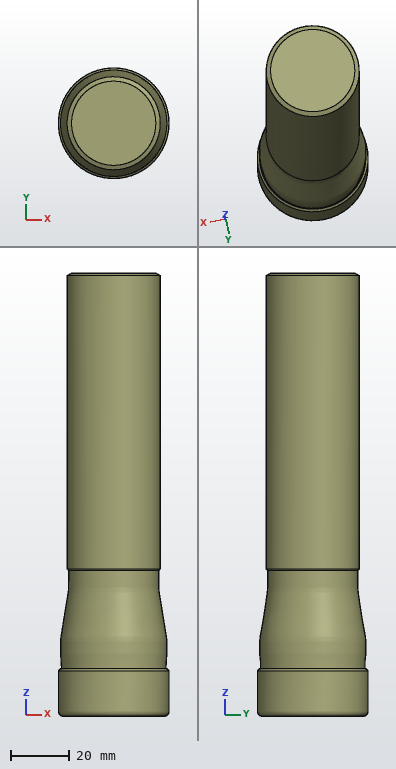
import cadquery as cq

total_length = 152.4

collar_radius = 19.0
collar_height = 16.5
collar_chamfer = 0.8
collar_bottom_fillet = 1.8

foot_radius = 18.0
flare_radius = 18.3
foot_taper_top = 21.5
flare_bottom = 26.5
flare_top = 43.5
flare_blend_radius = 10.7
rim_search_margin = 0.6
neck_radius = 15.5

handle_radius = 16.0
handle_bottom = 50.7
handle_step_height = 0.6
end_chamfer_height = 0.9
end_face_radius = 14.5


def make_collar():
    """Short round collar with a rounded lower rim and a chamfered upper rim."""
    collar = cq.Workplane("XY").circle(collar_radius).extrude(collar_height)
    collar = collar.faces("<Z").edges().fillet(collar_bottom_fillet)
    return collar.faces(">Z").edges().chamfer(collar_chamfer)


def blend_flare(body):
    """Round both ends of the conical flare into the adjoining cylinders."""
    for radius, height in ((flare_radius, flare_bottom), (neck_radius, flare_top)):
        rim = cq.selectors.BoxSelector(
            (-2 * radius, -2 * radius, height - rim_search_margin),
            (2 * radius, 2 * radius, height + rim_search_margin),
            boundingbox=True,
        )
        body = body.edges(rim).fillet(flare_blend_radius)
    return body


def make_body():
    """Revolved foot, flare, neck and handle."""
    body = (
        cq.Workplane("XZ")
        .moveTo(0, collar_height)
        .lineTo(foot_radius, collar_height)
        .lineTo(flare_radius, foot_taper_top)
        .lineTo(flare_radius, flare_bottom)
        .lineTo(neck_radius, flare_top)
        .lineTo(neck_radius, handle_bottom - handle_step_height)
        .lineTo(handle_radius, handle_bottom)
        .lineTo(handle_radius, total_length - end_chamfer_height)
        .lineTo(end_face_radius, total_length)
        .lineTo(0, total_length)
        .close()
        .revolve(360, (0, 0, 0), (0, 1, 0))
    )
    return blend_flare(body)


collar = make_collar()
body = make_body()
result = cq.Compound.makeCompound([collar.val(), body.val()])